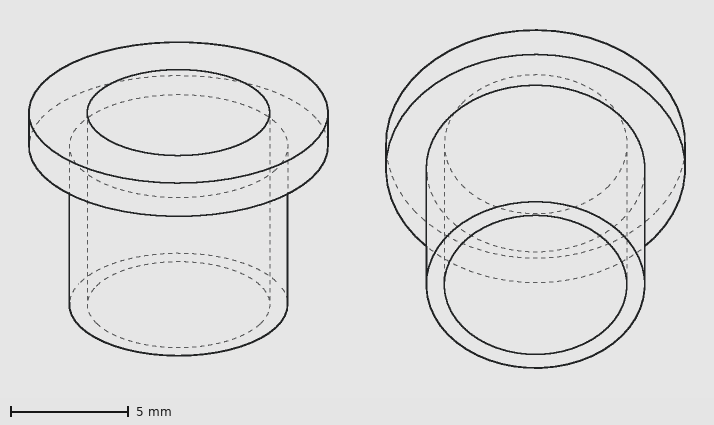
import cadquery as cq

flange_diameter = 12.7
sleeve_diameter = 9.27
bore_diameter = 7.75
total_height = 9.22
flange_thickness = 1.6

sleeve_length = total_height - flange_thickness

sleeve = cq.Workplane("XY").circle(sleeve_diameter / 2).extrude(sleeve_length)

flange = (
    cq.Workplane("XY")
    .workplane(offset=sleeve_length)
    .circle(flange_diameter / 2)
    .extrude(flange_thickness)
)

bore = cq.Workplane("XY").circle(bore_diameter / 2).extrude(total_height)

result = sleeve.union(flange).cut(bore)